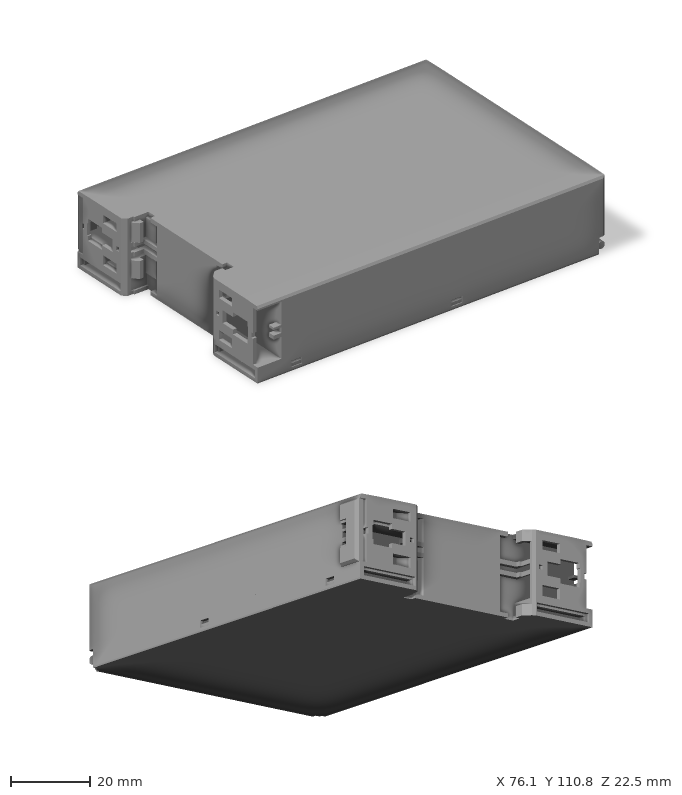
import cadquery as cq
import math


width = 75.0
length = 110.8
height = 22.5
half_width = width / 2
wall = 1.2
floor_thickness = 1.1

edge_inset = 0.4
edge_drop = 0.8
top_strip_width = 5.9
top_strip_drop = 0.1
bottom_bevel_height = 0.4
bottom_bevel_inset = 0.1

rail_depth = 6.0
foot_front_inset = 18.2
foot_side_inset = 19.75
latch_foot_bevel = 1.15
latch_foot_step_y = 3.0
fixed_hook_inset = 21.0
fixed_hook_bevel_y = 2.3
fixed_hook_break_y = 0.5
hook_top_y = 4.8
fixed_hook_thickness = 3.0
foot_wall_inset = 19.2

channel_depth = 7.5
channel_bottom = 4.65
channel_top = 21.2
pocket_front = 2.3
pocket_mouth_inset = 25.2
pocket_floor_inset = 24.0
notch_end_inset = 22.5
side_notch_width = 2.0
web_bottom = 11.0
web_top = 15.0
web_thickness = 1.2
web_bottoms = (web_bottom, web_top - web_thickness)
web_start_inset = 18.5
guide_bottom = 11.05
guide_top = 14.5
guide_front = 5.1
side_groove_end = 2.65

inside_width = (wall - half_width, half_width - wall)
inside_length = (channel_depth + wall, length - wall)

middle_z = (channel_bottom + channel_top) / 2
keyhole_start = 4.3
keyhole_step = 10.3
keyhole_end = 14.6
keyhole_wide = 6.4
keyhole_narrow = 3.7
keyhole_bulge = 0.35
keyhole_bulge_height = 3.7
window_start = 10.6
window_end = 16.2
upper_window = (17.65, 20.1)
lower_window = (5.5, 8.35)
pin_hole_inset = 16.7
pin_hole_size = 1.2
slot_start = 1.15
slot_end = 17.9
slot_bottom = 1.1
slot_top = 3.45
slot_depth = 3.0
slot_step_depth = 1.0
slot_step = 0.6

flap_height = 4.9
flap_ranges = [(16.7, 59.6), (67.3, 108.8)]
snap_centres = [12.45, 63.5]
snap_length = 3.4
snap_bottom = 1.1
snap_top = 3.0
lug_top = 2.05
lug_recess = 0.3
hinge_width = 2.5
hinge_radius = 1.1
hinge_z = 2.3
hinge_recess = 0.3

panel_front = 0.4
panel_inner = 1.45
panel_flat_outset = 0.15
panel_outset = 1.1
panel_bevel = 0.65
grip_front = 4.4
grip_height = 7.2
grip_rim = guide_front - grip_front
grip_rim_depth = 0.5
prong_front = 1.2
upper_prong = (15.5, channel_top)
lower_prong = (5.0, 10.2)
prong_nose_inset = 20.0
prong_tip_inset = 21.3
prong_tip_y = 3.6
prong_side_inset = 19.7
tail_front = 6.7
ramp_foot_inset = 13.8
ramp_floor_y = 2.6
lower_ramp_bottom = 6.0


def box(x_range, y_range, z_range):
    """Box between two limits on each axis."""
    limits = (x_range, y_range, z_range)
    sizes = [high - low for low, high in limits]
    return cq.Workplane("XY").box(*sizes, centered=False).translate(tuple(low for low, _ in limits))


def foot_box(inset_range, y_range, z_range):
    """Box in the -X foot, its x limits given as insets from the housing side."""
    return box([inset - half_width for inset in inset_range], y_range, z_range)


def foot_plan(points, z_range):
    """Prism in the -X foot from (inset, y) points."""
    outline = [(inset - half_width, y) for inset, y in points]
    return cq.Workplane("XY").workplane(offset=z_range[0]).polyline(outline).close().extrude(
        z_range[1] - z_range[0])


def opposite(shape):
    return shape.mirror("YZ")


def both_sides(shape):
    return shape.union(opposite(shape))


def envelope():
    """Outer block with its sloped top strips and bevelled long and rear edges."""
    right_side = [
        (half_width - bottom_bevel_inset, 0),
        (half_width, bottom_bevel_height),
        (half_width, height - edge_drop),
        (half_width - edge_inset, height - top_strip_drop),
        (half_width - top_strip_width, height),
    ]
    left_side = [(-x, z) for x, z in reversed(right_side)]
    block = cq.Workplane("XZ").polyline(right_side + left_side).close().extrude(-length)
    plan = [
        (-half_width, 0),
        (half_width, 0),
        (half_width, length - edge_drop),
        (half_width - edge_inset, length),
        (edge_inset - half_width, length),
        (-half_width, length - edge_drop),
    ]
    return block.intersect(cq.Workplane("XY").polyline(plan).close().extrude(height))


def rail_recess():
    """Recess for the rail: plain -X foot, hooked +X foot."""
    bevel_inset = foot_front_inset + latch_foot_bevel
    latch_foot = [
        (0, 0),
        (foot_front_inset, 0),
        (bevel_inset, latch_foot_bevel),
        (bevel_inset, latch_foot_step_y),
        (foot_side_inset, latch_foot_step_y),
        (foot_side_inset, rail_depth),
        (0, rail_depth),
    ]
    fixed_foot = [
        (0, 0),
        (foot_front_inset, 0),
        (foot_wall_inset, fixed_hook_break_y),
        (fixed_hook_inset, fixed_hook_bevel_y),
        (fixed_hook_inset, hook_top_y),
        (foot_side_inset, hook_top_y),
        (foot_side_inset, rail_depth),
        (0, rail_depth),
    ]
    full_height = (0, height)
    recess = box((-half_width, half_width), (0, rail_depth), full_height)
    recess = recess.cut(foot_plan(latch_foot, full_height))
    recess = recess.cut(opposite(foot_plan(fixed_foot, full_height)))
    notch = foot_box((foot_side_inset, notch_end_inset), (rail_depth, channel_depth), full_height)
    for low in web_bottoms:
        web_heights = (low, low + web_thickness)
        web = foot_box((foot_side_inset, notch_end_inset), (rail_depth, channel_depth), web_heights)
        notch = notch.cut(web)
    return recess.union(both_sides(notch))


def channel():
    """Latch channel of the -X foot with its open side, rail-side pocket, centre webs and side guides."""
    heights = (channel_bottom, channel_top)
    space = foot_box((0, foot_wall_inset), (wall, channel_depth), heights)
    space = space.union(foot_box((0, side_notch_width), (0, wall), heights))
    pocket = [
        (foot_wall_inset, pocket_front),
        (foot_side_inset, pocket_front),
        (foot_side_inset, rail_depth),
        (pocket_mouth_inset, rail_depth),
        (pocket_floor_inset, channel_depth),
        (foot_wall_inset, channel_depth),
    ]
    space = space.union(foot_plan(pocket, (floor_thickness, channel_top)))
    for low in web_bottoms:
        web_heights = (low, low + web_thickness)
        web = foot_box((web_start_inset, pocket_mouth_inset), (wall, channel_depth), web_heights)
        space = space.cut(web)
    groove = foot_box((0, side_groove_end), (0, wall), (web_bottom + web_thickness, web_top - web_thickness))
    space = space.union(groove)
    for z_range in ((guide_bottom, web_bottom + web_thickness), (web_top - web_thickness, guide_top)):
        space = space.cut(foot_box((0, side_notch_width), (guide_front, channel_depth), z_range))
    return space


def front_openings():
    """Keyhole, two windows, pin hole and lower slot in the front wall of the -X foot."""
    through = (0, wall)
    wide = (middle_z - keyhole_wide / 2, middle_z + keyhole_wide / 2)
    narrow = (middle_z - keyhole_narrow / 2, middle_z + keyhole_narrow / 2)
    bulge = (middle_z - keyhole_bulge_height / 2, middle_z + keyhole_bulge_height / 2)
    cuts = foot_box((keyhole_start, keyhole_step), through, wide)
    cuts = cuts.union(foot_box((keyhole_step, keyhole_end), through, narrow))
    cuts = cuts.union(foot_box((keyhole_start - keyhole_bulge, keyhole_start), through, bulge))
    for z_range in (upper_window, lower_window):
        cuts = cuts.union(foot_box((window_start, window_end), through, z_range))
    pin = pin_hole_size / 2
    cuts = cuts.union(
        foot_box((pin_hole_inset - pin, pin_hole_inset + pin), through, (middle_z - pin, middle_z + pin)))
    cuts = cuts.union(foot_box((slot_start, slot_end), (0, slot_step_depth), (slot_bottom, slot_top)))
    return cuts.union(
        foot_box((slot_start + slot_step, slot_end - slot_step), (0, slot_depth),
                 (slot_bottom, slot_top - slot_step)))


def snap_windows():
    """Windows in the -X side wall that the lid's lugs snap into."""
    windows = cq.Workplane("XY")
    for centre in snap_centres:
        y_range = (centre - snap_length / 2, centre + snap_length / 2)
        windows = windows.add(foot_box((0, wall), y_range, (snap_bottom, snap_top)))
    return windows.combine()


def make_lid(outer):
    """Bottom plate with side flaps, snap lugs and rear hinge barrels."""
    lid = box(inside_width, inside_length, (0, floor_thickness))
    side = foot_box((wall, 2 * wall), inside_length, (0, floor_thickness))
    for y_range in flap_ranges:
        side = side.union(foot_box((0, wall), y_range, (0, flap_height)))
    for centre in snap_centres:
        y_range = (centre - snap_length / 2, centre + snap_length / 2)
        side = side.union(foot_box((wall, 2 * wall), y_range, (0, snap_top)))
        side = side.union(foot_box((lug_recess, wall), y_range, (snap_bottom, lug_top)))
    barrel = cq.Workplane("YZ").workplane(offset=hinge_recess - half_width).center(
        length - hinge_radius, hinge_z).circle(hinge_radius).extrude(hinge_width - hinge_recess)
    side = side.union(barrel)
    return lid.union(both_sides(side)).intersect(outer)


def make_housing(outer, lid):
    housing = outer.cut(rail_recess())
    housing = housing.cut(box(inside_width, inside_length, (floor_thickness, height - wall)))
    housing = housing.cut(channel()).cut(front_openings())
    housing = housing.cut(opposite(channel())).cut(opposite(front_openings()))
    hook_gap = foot_box((foot_wall_inset, fixed_hook_inset), (0, hook_top_y),
                        (fixed_hook_thickness, height - fixed_hook_thickness))
    housing = housing.cut(opposite(hook_gap))
    hinge_notch = foot_box((0, hinge_width), (flap_ranges[-1][1], length), (0, flap_height))
    housing = housing.cut(both_sides(snap_windows())).cut(both_sides(hinge_notch))
    return housing.cut(lid)


def latch_panel():
    """Bevelled outer push panel with a grip opening."""
    heights = (channel_bottom, channel_top)
    panel = foot_box((-panel_flat_outset, panel_inner), (panel_front, channel_depth), heights)
    bevel_depth = panel_outset - panel_flat_outset
    cap = (
        cq.Workplane("YZ")
        .center((panel_front + channel_depth) / 2, middle_z)
        .rect(channel_depth - panel_front, channel_top - channel_bottom)
        .extrude(-bevel_depth, taper=math.degrees(math.atan(panel_bevel / bevel_depth)))
        .translate((-half_width - panel_flat_outset, 0, 0))
    )
    panel = panel.union(cap)
    rim = foot_box((-panel_outset, grip_rim_depth - panel_outset), (grip_front, channel_depth),
                   (middle_z - grip_height / 2, middle_z + grip_height / 2))
    hole_half = grip_height / 2 - grip_rim
    hole = foot_box((-panel_outset, panel_inner), (grip_front + grip_rim, channel_depth),
                    (middle_z - hole_half, middle_z + hole_half))
    return panel.cut(rim).cut(hole)


def latch_prong(z_range, ramp_heights):
    """Prong with a rail hook, a spring tail and a ramped pocket behind the foot's window."""
    outline = [
        (panel_inner, prong_front),
        (foot_front_inset, prong_front),
        (foot_wall_inset, fixed_hook_bevel_y),
        (prong_nose_inset, fixed_hook_bevel_y),
        (prong_tip_inset, prong_tip_y),
        (prong_tip_inset, hook_top_y),
        (prong_side_inset, hook_top_y),
        (prong_side_inset, tail_front),
        (pocket_floor_inset, tail_front),
        (pocket_floor_inset, channel_depth),
        (panel_inner, channel_depth),
    ]
    ramp = [
        (window_start, prong_front),
        (window_end, prong_front),
        (ramp_foot_inset, ramp_floor_y),
        (window_start, ramp_floor_y),
    ]
    return foot_plan(outline, z_range).cut(foot_plan(ramp, ramp_heights))


def make_latch():
    latch = latch_panel()
    latch = latch.union(latch_prong(upper_prong, upper_window))
    return latch.union(latch_prong(lower_prong, (lower_ramp_bottom, lower_window[1])))


outer = envelope()
lid = make_lid(outer)
latch = make_latch()
housing = make_housing(outer, lid)
result = cq.Compound.makeCompound([housing.solids().val(), lid.solids().val(), latch.solids().val()])